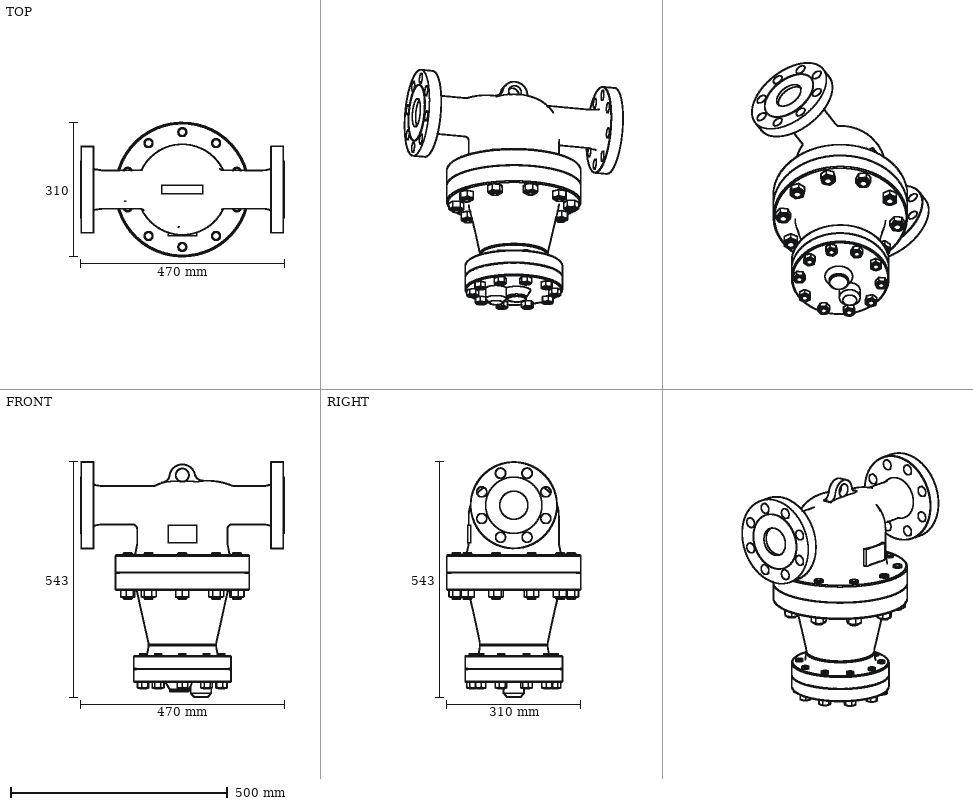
import cadquery as cq
import math


NOZZLE_REACH = 235.0
RAISED_FACE_DIA = 130.0
RAISED_FACE_HEIGHT = 1.5
NOZZLE_FLANGE_DIA = 200.0
NOZZLE_FLANGE_THICKNESS = 29.0
NOZZLE_FLANGE_CHAMFER = 1.0
NOZZLE_BOLT_CIRCLE_DIA = 160.0
NOZZLE_BOLT_HOLE_DIA = 23.0
NOZZLE_BOLT_COUNT = 8
PIPE_DIA = 89.0
INLET_NECK_DIA = 100.0
INLET_NECK_FLARE = 3.0
OUTLET_NECK_DIA = 96.5
NECK_LENGTH = 20.0
BORE_DIA = 65.0
BORE_DEPTH = 8.0
NOZZLE_BLEND = 10.0

BEND_START_X = 120.5
BEND_ANGLE = 22.0
RISE_RADIUS = 60.0
CREST_RADIUS = 111.0
CREST_SWEEP = 55.0
HUMP_SKIRT = 20.0

HOUSING_RADIUS = 104.5
DOME_CORNER_RADIUS = 80.0
DOME_BASE_Z = -25.0
SKIRT_TOP_Z = -89.0
SKIRT_BOTTOM_RADIUS = 108.5
FLANGE_BLEND = 5.0

UPPER_TOP_Z = -114.5
UPPER_DIA = 310.0
UPPER_HEIGHT = 82.0
UPPER_GASKET_DIA = 290.0
UPPER_CHAMFER = 3.0

CONE_TOP_RADIUS = 104.5
THROAT_DIA = 157.5
THROAT_TOP_Z = -317.0
WELD_PITCH = 3.8
WELD_GROOVE_DEPTH = 0.5
THROAT_FLARE_DIA = 162.5

LOWER_TOP_Z = -347.0
LOWER_DIA = 225.0
LOWER_HEIGHT = 62.0
LOWER_GASKET_DIA = 215.0
LOWER_CHAMFER = 2.5
GASKET_THICKNESS = 1.5

STUD_COUNT = 10
UPPER_STUD_DIA = 20.0
UPPER_STUD_CIRCLE_DIA = 265.0
UPPER_NUT_WIDTH = 30.0
UPPER_NUT_HEIGHT = 16.0
UPPER_STUD_TOP = 4.5
UPPER_STUD_TAIL = 4.0
LOWER_STUD_DIA = 16.0
LOWER_STUD_CIRCLE_DIA = 190.0
LOWER_NUT_WIDTH = 24.0
LOWER_NUT_HEIGHT = 13.0
LOWER_STUD_TOP = 4.5
LOWER_STUD_TAIL = 1.5
UPPER_STUD_CHAMFER = 1.5
LOWER_STUD_CHAMFER = 1.2
NUT_FACE_RATIO = 0.925
NUT_CHAMFER_ANGLE = 30.0

LUG_THICKNESS = 20.0
LUG_RADIUS = 30.0
LUG_CENTER_Z = 64.5
LUG_HOLE_DIA = 30.0
LUG_HOLE_Z = 69.5
LUG_HALF_LENGTH = 47.0
LUG_DOME_FOOT_Z = 53.0
LUG_HUMP_FOOT_Z = 57.2
LUG_ROOT_Z = 35.0

PLATE_WIDTH = 66.0
PLATE_HEIGHT = 41.0
PLATE_CENTER_Z = -66.5
PLATE_FACE_Y = -106.5

DRAIN_X = 43.0
DRAIN_DIA = 48.0
DRAIN_TIP_DIA = 32.0
DRAIN_SHOULDER_Z = -433.5
DRAIN_TIP_Z = -443.0
PLUG_X = -7.0
PLUG_DIA = 45.0
PLUG_CONE_TOP_DIA = 64.0
PLUG_CONE_BOTTOM_Z = -424.5
PLUG_BOTTOM_Z = -430.0
PLUG_CHAMFER = 1.5

UPPER_BOTTOM_Z = UPPER_TOP_Z - UPPER_HEIGHT
LOWER_BOTTOM_Z = LOWER_TOP_Z - LOWER_HEIGHT
THROAT_RADIUS = THROAT_DIA / 2
PIPE_RADIUS = PIPE_DIA / 2


def cylinder(dia, bottom_z, top_z, x=0.0):
    return cq.Workplane("XY", origin=(x, 0, bottom_z)).circle(dia / 2).extrude(top_z - bottom_z)


def revolve_about_z(profile):
    return profile.close().revolve(360, (0, 0, 0), (0, 1, 0))


def revolve_about_x(profile):
    return profile.close().revolve(360, (0, 0, 0), (1, 0, 0))


def disc_along_x(dia, start_x, end_x):
    return cq.Workplane("YZ", origin=(start_x, 0, 0)).circle(dia / 2).extrude(end_x - start_x)


def housing():
    """Cylindrical shell under a torispherical dome, flaring onto the upper flange."""
    dome_top_z = DOME_BASE_Z + DOME_CORNER_RADIUS
    corner_x = HOUSING_RADIUS - DOME_CORNER_RADIUS
    diagonal = DOME_CORNER_RADIUS * math.sqrt(0.5)
    blend_z = UPPER_TOP_Z + FLANGE_BLEND
    return revolve_about_z(
        cq.Workplane("XZ")
        .moveTo(0, dome_top_z)
        .lineTo(corner_x, dome_top_z)
        .threePointArc((corner_x + diagonal, DOME_BASE_Z + diagonal), (HOUSING_RADIUS, DOME_BASE_Z))
        .lineTo(HOUSING_RADIUS, SKIRT_TOP_Z)
        .lineTo(SKIRT_BOTTOM_RADIUS, blend_z)
        .radiusArc((SKIRT_BOTTOM_RADIUS + FLANGE_BLEND, UPPER_TOP_Z), -FLANGE_BLEND)
        .lineTo(0, UPPER_TOP_Z)
    )


def lower_body():
    """Cone between the flange pairs, ending in a short throat with a weld groove."""
    groove_radius = THROAT_RADIUS - WELD_GROOVE_DEPTH
    groove_top_z = THROAT_TOP_Z - WELD_PITCH
    groove_bottom_z = groove_top_z - WELD_PITCH
    throat_bottom_z = groove_bottom_z - WELD_PITCH
    flare_radius = THROAT_FLARE_DIA / 2
    return revolve_about_z(
        cq.Workplane("XZ")
        .moveTo(0, UPPER_BOTTOM_Z)
        .lineTo(CONE_TOP_RADIUS + FLANGE_BLEND, UPPER_BOTTOM_Z)
        .radiusArc((CONE_TOP_RADIUS, UPPER_BOTTOM_Z - FLANGE_BLEND), -FLANGE_BLEND)
        .lineTo(THROAT_RADIUS, THROAT_TOP_Z)
        .lineTo(THROAT_RADIUS, groove_top_z)
        .lineTo(groove_radius, groove_top_z)
        .lineTo(groove_radius, groove_bottom_z)
        .lineTo(THROAT_RADIUS, groove_bottom_z)
        .lineTo(THROAT_RADIUS, throat_bottom_z)
        .lineTo(flare_radius, LOWER_TOP_Z + FLANGE_BLEND)
        .radiusArc((flare_radius + FLANGE_BLEND, LOWER_TOP_Z), -FLANGE_BLEND)
        .lineTo(0, LOWER_TOP_Z)
    )


def flange_pair(dia, top_z, height, gasket_dia, chamfer):
    """Two equal discs separated by a recessed gasket."""
    middle_z = top_z - height / 2
    half_gap = GASKET_THICKNESS / 2
    upper = cylinder(dia, middle_z + half_gap, top_z).faces(">Z").chamfer(chamfer)
    lower = cylinder(dia, top_z - height, middle_z - half_gap).faces("<Z").chamfer(chamfer)
    gasket = cylinder(gasket_dia, middle_z - half_gap, middle_z + half_gap)
    return upper.union(gasket).union(lower)


def hex_nut(width, height, top_z):
    """Hexagonal nut with its lower corners turned off by a cone."""
    face_radius = NUT_FACE_RATIO * width / 2
    corner_radius = width / math.sqrt(3)
    chamfer_height = (corner_radius - face_radius) * math.tan(math.radians(NUT_CHAMFER_ANGLE))
    bottom_z = top_z - height
    prism = cq.Workplane("XY", origin=(0, 0, bottom_z)).polygon(6, 2 * corner_radius).extrude(height)
    turned = revolve_about_z(
        cq.Workplane("XZ")
        .moveTo(0, bottom_z)
        .lineTo(face_radius, bottom_z)
        .lineTo(corner_radius, bottom_z + chamfer_height)
        .lineTo(corner_radius, top_z)
        .lineTo(0, top_z)
    )
    return prism.intersect(turned)


def add_studs(body, circle_dia, stud_dia, top_z, bottom_z, nut_width, nut_height, head, tail, chamfer):
    """Ring of studs through a flange pair, each with a nut below."""
    stud = cylinder(stud_dia, bottom_z - nut_height - tail, top_z + head)
    stud = stud.faces("<Z or >Z").chamfer(chamfer)
    fastener = hex_nut(nut_width, nut_height, bottom_z).union(stud)
    fastener = fastener.translate((circle_dia / 2, 0, 0))
    pitch = 360 / STUD_COUNT
    for index in range(STUD_COUNT):
        body = body.union(fastener.rotate((0, 0, 0), (0, 0, 1), pitch * (index + 0.5)))
    return body


def inlet_neck(start_x, end_x):
    """Conical neck that flares into the back of its flange."""
    cone_radius = INLET_NECK_DIA / 2 - INLET_NECK_FLARE
    return revolve_about_x(
        cq.Workplane("XY")
        .moveTo(start_x, 0)
        .lineTo(start_x, PIPE_RADIUS)
        .lineTo(end_x - INLET_NECK_FLARE, cone_radius)
        .radiusArc((end_x, cone_radius + INLET_NECK_FLARE), -INLET_NECK_FLARE)
        .lineTo(end_x, 0)
    )


def outlet_neck(start_x, end_x):
    """Neck that leaves the pipe tangentially and curves outward to its flange."""
    rise = OUTLET_NECK_DIA / 2 - PIPE_RADIUS
    curve_radius = ((end_x - start_x) ** 2 + rise ** 2) / (2 * rise)
    return revolve_about_x(
        cq.Workplane("XY")
        .moveTo(start_x, 0)
        .lineTo(start_x, PIPE_RADIUS)
        .radiusArc((end_x, OUTLET_NECK_DIA / 2), -curve_radius)
        .lineTo(end_x, 0)
    )


def nozzle(make_neck):
    """Pipe, neck and flange along +X, starting at the main axis."""
    flange_outer_x = NOZZLE_REACH - RAISED_FACE_HEIGHT
    flange_inner_x = flange_outer_x - NOZZLE_FLANGE_THICKNESS
    neck_start_x = flange_inner_x - NECK_LENGTH
    pipe = disc_along_x(PIPE_DIA, 0, neck_start_x)
    neck = make_neck(neck_start_x, flange_inner_x)
    flange = disc_along_x(NOZZLE_FLANGE_DIA, flange_inner_x, flange_outer_x)
    flange = flange.faces("<X").chamfer(NOZZLE_FLANGE_CHAMFER)
    bolt_holes = (
        cq.Workplane("YZ", origin=(flange_inner_x, 0, 0))
        .polarArray(NOZZLE_BOLT_CIRCLE_DIA / 2, 180 / NOZZLE_BOLT_COUNT, 360, NOZZLE_BOLT_COUNT)
        .circle(NOZZLE_BOLT_HOLE_DIA / 2)
        .extrude(NOZZLE_FLANGE_THICKNESS)
    )
    raised_face = disc_along_x(RAISED_FACE_DIA, flange_outer_x, NOZZLE_REACH)
    bore = disc_along_x(BORE_DIA, NOZZLE_REACH - BORE_DEPTH, NOZZLE_REACH)
    return pipe.union(neck).union(flange.cut(bolt_holes)).union(raised_face).cut(bore)


def bend_point(center, radius, angle):
    """Point of an XZ arc, at an angle in degrees from straight up toward +X."""
    turn = math.radians(angle)
    return (center[0] + radius * math.sin(turn), center[1] + radius * math.cos(turn))


def outlet_hump():
    """S-bend leaving the outlet pipe: it rises, crests and dips into the dome.

    Its section is the upper half of the pipe with straight sides below.
    """
    rise_center = (BEND_START_X, RISE_RADIUS)
    rise_middle = bend_point(rise_center, -RISE_RADIUS, BEND_ANGLE / 2)
    rise_end = bend_point(rise_center, -RISE_RADIUS, BEND_ANGLE)
    crest_center = bend_point(rise_end, -CREST_RADIUS, BEND_ANGLE)
    crest_middle = bend_point(crest_center, CREST_RADIUS, BEND_ANGLE - CREST_SWEEP / 2)
    crest_end = bend_point(crest_center, CREST_RADIUS, BEND_ANGLE - CREST_SWEEP)
    path = (
        cq.Workplane("XZ")
        .moveTo(BEND_START_X, 0)
        .threePointArc(rise_middle, rise_end)
        .threePointArc(crest_middle, crest_end)
    )
    return (
        cq.Workplane("YZ", origin=(BEND_START_X, 0, 0))
        .moveTo(-PIPE_RADIUS, 0)
        .threePointArc((0, PIPE_RADIUS), (PIPE_RADIUS, 0))
        .lineTo(PIPE_RADIUS, -HUMP_SKIRT)
        .lineTo(-PIPE_RADIUS, -HUMP_SKIRT)
        .close()
        .sweep(path)
    )


def outlet():
    """Outlet nozzle whose upper half, up to the bend, is replaced by the hump."""
    hump_zone = cq.Workplane("XY").box(
        BEND_START_X, HOUSING_RADIUS, HOUSING_RADIUS, centered=(False, True, False)
    )
    return nozzle(outlet_neck).cut(hump_zone).union(outlet_hump().intersect(hump_zone))


def housing_with_nozzles():
    """Housing with the inlet on -X and the outlet on +X, both filleted where they meet the shell."""
    inlet = nozzle(inlet_neck).rotate((0, 0, 0), (0, 0, 1), 180)
    body = housing().union(inlet).union(outlet())
    seams = [
        edge
        for edge in body.edges().vals()
        if edge.geomType() == "BSPLINE" and abs(edge.Center().x) < HOUSING_RADIUS
    ]
    return body.newObject(seams).fillet(NOZZLE_BLEND)


def lug_foot(foot_z):
    """Radius of the arc from the eye to a level foot, and the half-width and Z where it leaves the eye."""
    drop = LUG_CENTER_Z - foot_z
    radius = (LUG_HALF_LENGTH ** 2 + drop ** 2 - LUG_RADIUS ** 2) / (2 * (LUG_RADIUS + drop))
    eye_share = LUG_RADIUS / (LUG_RADIUS + radius)
    tangent_x = LUG_HALF_LENGTH * eye_share
    tangent_z = LUG_CENTER_Z + (foot_z + radius - LUG_CENTER_Z) * eye_share
    return radius, tangent_x, tangent_z


def lifting_lug():
    """Upright eye whose sides sweep out into feet on the dome (-X) and on the hump (+X)."""
    dome_radius, dome_x, dome_z = lug_foot(LUG_DOME_FOOT_Z)
    hump_radius, hump_x, hump_z = lug_foot(LUG_HUMP_FOOT_Z)
    return (
        cq.Workplane("XZ", origin=(0, LUG_THICKNESS / 2, 0))
        .moveTo(-LUG_HALF_LENGTH, LUG_ROOT_Z)
        .lineTo(-LUG_HALF_LENGTH, LUG_DOME_FOOT_Z)
        .radiusArc((-dome_x, dome_z), -dome_radius)
        .threePointArc((0, LUG_CENTER_Z + LUG_RADIUS), (hump_x, hump_z))
        .radiusArc((LUG_HALF_LENGTH, LUG_HUMP_FOOT_Z), -hump_radius)
        .lineTo(LUG_HALF_LENGTH, LUG_ROOT_Z)
        .close()
        .extrude(LUG_THICKNESS)
    )


def lug_hole():
    return (
        cq.Workplane("XZ", origin=(0, LUG_THICKNESS / 2, 0))
        .center(0, LUG_HOLE_Z)
        .circle(LUG_HOLE_DIA / 2)
        .extrude(LUG_THICKNESS)
    )


def name_plate():
    """Flat rectangular pad on the -Y side of the housing."""
    depth = HOUSING_RADIUS / 2
    plate = cq.Workplane("XY").box(PLATE_WIDTH, depth, PLATE_HEIGHT)
    return plate.translate((0, PLATE_FACE_Y + depth / 2, PLATE_CENTER_Z))


def tapered_boss(x, top_dia, bottom_dia, top_z, bottom_z):
    return (
        cq.Workplane("XY", origin=(x, 0, top_z))
        .circle(top_dia / 2)
        .workplane(offset=bottom_z - top_z)
        .circle(bottom_dia / 2)
        .loft()
    )


def drain_bosses():
    drain = cylinder(DRAIN_DIA, DRAIN_SHOULDER_Z, LOWER_BOTTOM_Z, DRAIN_X)
    drain_tip = tapered_boss(DRAIN_X, DRAIN_DIA, DRAIN_TIP_DIA, DRAIN_SHOULDER_Z, DRAIN_TIP_Z)
    plug_cone = tapered_boss(PLUG_X, PLUG_CONE_TOP_DIA, PLUG_DIA, LOWER_BOTTOM_Z, PLUG_CONE_BOTTOM_Z)
    plug = cylinder(PLUG_DIA, PLUG_BOTTOM_Z, PLUG_CONE_BOTTOM_Z, PLUG_X)
    plug = plug.faces("<Z").chamfer(PLUG_CHAMFER)
    return drain.union(drain_tip).union(plug_cone).union(plug)


result = housing_with_nozzles()
result = result.union(lifting_lug()).cut(lug_hole()).union(name_plate())
result = result.union(flange_pair(UPPER_DIA, UPPER_TOP_Z, UPPER_HEIGHT, UPPER_GASKET_DIA, UPPER_CHAMFER))
result = result.union(lower_body())
result = result.union(flange_pair(LOWER_DIA, LOWER_TOP_Z, LOWER_HEIGHT, LOWER_GASKET_DIA, LOWER_CHAMFER))
result = result.union(drain_bosses())
result = add_studs(
    result, UPPER_STUD_CIRCLE_DIA, UPPER_STUD_DIA, UPPER_TOP_Z, UPPER_BOTTOM_Z,
    UPPER_NUT_WIDTH, UPPER_NUT_HEIGHT, UPPER_STUD_TOP, UPPER_STUD_TAIL, UPPER_STUD_CHAMFER,
)
result = add_studs(
    result, LOWER_STUD_CIRCLE_DIA, LOWER_STUD_DIA, LOWER_TOP_Z, LOWER_BOTTOM_Z,
    LOWER_NUT_WIDTH, LOWER_NUT_HEIGHT, LOWER_STUD_TOP, LOWER_STUD_TAIL, LOWER_STUD_CHAMFER,
)